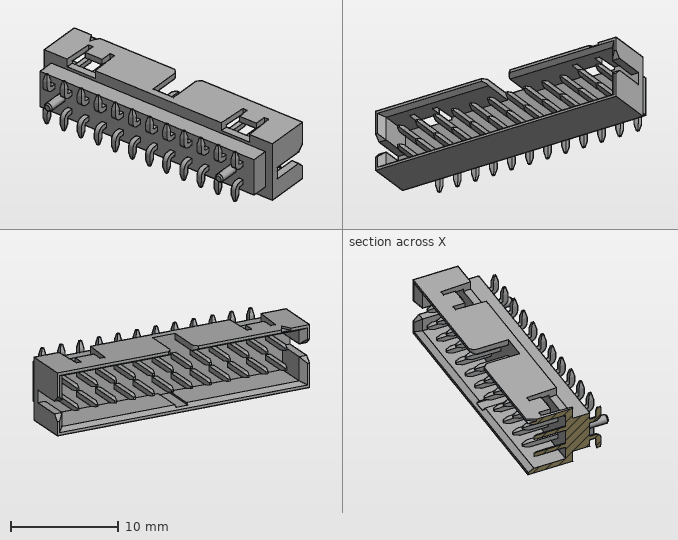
import cadquery as cq
import math


shroud_length = 26.65
shroud_depth = 4.66
shroud_height = 6.3
end_wall = 0.8
long_wall = 0.6
floor_thickness = 0.77

lead_in_depth = 0.59
lead_in_inset_x = 0.59
lead_in_inset_z = 0.32

base_length = 25.0
base_depth = 1.75
base_height = 3.95

pin_pitch = 2.0
pins_per_row = 12
pin_width = 0.5
pin_tip_width = 0.2
contact_tip_y = 4.35
contact_taper = 0.59
leg_reach = 1.2
leg_thickness = 0.55
leg_bend_radius = 0.72
leg_inner_radius = 0.15
leg_taper_z = 2.03
leg_tip_z = 2.72

peg_x = 10.0
peg_diameter = 0.88
peg_length = 2.19
peg_chamfer_length = 0.15
peg_chamfer_radius = 0.13

latch_x = 9.0
latch_rear_width = 3.3
latch_front_width = 3.0
latch_slot_end_y = 3.15
latch_tongue_width = 2.0
latch_tongue_y = 1.92
latch_rear_cut_z = 2.3

key_width = 2.37
key_chamfer = 0.4
key_blend_radius = 0.45
key_groove_width = 1.23
key_groove_depth = 0.15

end_slot_far_z = 1.15
end_slot_near_z = 0.12
end_slot_flare = 0.59

mark_x = -10.85
mark_width = 0.99
mark_length = 0.9
mark_depth = 0.2

cavity_length = shroud_length - 2 * end_wall
cavity_height = shroud_height - 2 * long_wall
top_z = shroud_height / 2
base_rear_y = -base_depth
flare_start_y = shroud_depth - lead_in_depth


def block(x_size, z_size, y_start, y_end):
    """Box centred on X = Z = 0 between two Y planes."""
    size_y = y_end - y_start
    return cq.Workplane("XY").box(x_size, size_y, z_size).translate((0, (y_start + y_end) / 2, 0))


def plan_cut(points, z_low, z_high):
    """Prism with an outline in X and Y, between two heights."""
    return cq.Workplane("XY").workplane(offset=z_low).polyline(points).close().extrude(z_high - z_low)


def make_shroud():
    outer = block(shroud_length, shroud_height, 0, shroud_depth)
    base = block(base_length, base_height, base_rear_y, 0)
    cavity = block(cavity_length, cavity_height, floor_thickness, shroud_depth)
    lead_in = (
        cq.Workplane("XZ", origin=(0, flare_start_y, 0))
        .rect(cavity_length, cavity_height)
        .workplane(offset=-lead_in_depth)
        .rect(cavity_length + 2 * lead_in_inset_x, cavity_height + 2 * lead_in_inset_z)
        .loft(ruled=True)
    )
    return outer.union(base).cut(cavity).cut(lead_in)


def make_latch_window():
    """Tapered opening, with a tongue left standing at its front, run out through the rear face."""
    rear_half = latch_rear_width / 2
    front_half = latch_front_width / 2
    tongue_half = latch_tongue_width / 2
    return plan_cut(
        [
            (-rear_half, 0),
            (rear_half, 0),
            (front_half, latch_slot_end_y),
            (tongue_half, latch_slot_end_y),
            (tongue_half, latch_tongue_y),
            (-tongue_half, latch_tongue_y),
            (-tongue_half, latch_slot_end_y),
            (-front_half, latch_slot_end_y),
        ],
        latch_rear_cut_z,
        top_z,
    )


def make_key_notch():
    half = key_width / 2
    blend_start_y = shroud_depth - key_chamfer - key_blend_radius * math.tan(math.pi / 8)
    blend_x = half + key_blend_radius * (1 - math.cos(math.pi / 4))
    blend_end_y = blend_start_y + key_blend_radius * math.sin(math.pi / 4)
    notch = (
        cq.Workplane("XY")
        .moveTo(-half, floor_thickness)
        .lineTo(half, floor_thickness)
        .lineTo(half, blend_start_y)
        .radiusArc((blend_x, blend_end_y), key_blend_radius)
        .lineTo(half + key_chamfer, shroud_depth)
        .lineTo(-half - key_chamfer, shroud_depth)
        .lineTo(-blend_x, blend_end_y)
        .radiusArc((-half, blend_start_y), key_blend_radius)
        .close()
        .extrude(top_z)
    )
    groove_floor_z = -cavity_height / 2 - key_groove_depth
    groove = block(key_groove_width, -groove_floor_z, floor_thickness, shroud_depth)
    return notch.union(groove.translate((0, 0, groove_floor_z / 2)))


def make_end_slot():
    """Flared slot through the -X end wall."""
    outline = [
        (floor_thickness, -end_slot_near_z),
        (flare_start_y, -end_slot_near_z),
        (shroud_depth, -end_slot_near_z - end_slot_flare),
        (shroud_depth, end_slot_far_z + end_slot_flare),
        (flare_start_y, end_slot_far_z),
        (floor_thickness, end_slot_far_z),
    ]
    return cq.Workplane("YZ", origin=(-shroud_length / 2, 0, 0)).polyline(outline).close().extrude(end_wall)


def make_pin_mark():
    half = mark_width / 2
    outline = [
        (mark_x - half, shroud_depth),
        (mark_x + half, shroud_depth),
        (mark_x, shroud_depth - mark_length),
    ]
    return plan_cut(outline, top_z - mark_depth, top_z)


def make_tip(plane, origin, thickness, length):
    """Taper to a square end, growing from origin along the plane's normal."""
    return (
        cq.Workplane(plane, origin=origin)
        .rect(pin_width, thickness)
        .workplane(offset=length)
        .rect(pin_tip_width, pin_tip_width)
        .loft(ruled=True)
    )


def make_upper_pin():
    """Contact along Y in the upper row whose tail bends up toward +Z."""
    row_z = pin_pitch / 2
    bottom_z = row_z - pin_width / 2
    contact_end_y = contact_tip_y - contact_taper
    leg_y = base_rear_y - leg_reach
    inner_y = leg_y + leg_thickness
    top_of_pin_z = bottom_z + pin_width
    shaft = (
        cq.Workplane("YZ", origin=(-pin_width / 2, 0, 0))
        .moveTo(contact_end_y, bottom_z)
        .lineTo(leg_y + leg_bend_radius, bottom_z)
        .radiusArc((leg_y, bottom_z + leg_bend_radius), leg_bend_radius)
        .lineTo(leg_y, leg_taper_z)
        .lineTo(inner_y, leg_taper_z)
        .lineTo(inner_y, top_of_pin_z + leg_inner_radius)
        .radiusArc((inner_y + leg_inner_radius, top_of_pin_z), -leg_inner_radius)
        .lineTo(contact_end_y, top_of_pin_z)
        .close()
        .extrude(pin_width)
    )
    contact_tip = make_tip("XZ", (0, contact_end_y, row_z), pin_width, -contact_taper)
    leg_axis_y = leg_y + leg_thickness / 2
    leg_tip = make_tip("XY", (0, leg_axis_y, leg_taper_z), leg_thickness, leg_tip_z - leg_taper_z)
    return shaft.union(contact_tip).union(leg_tip)


def make_peg():
    radius = peg_diameter / 2
    tip_radius = radius - peg_chamfer_radius
    chamfer_start = peg_length - peg_chamfer_length
    shank = cq.Workplane("XZ", origin=(0, base_rear_y, 0)).circle(radius).extrude(chamfer_start)
    tip = (
        cq.Workplane("XZ", origin=(0, base_rear_y - chamfer_start, 0))
        .circle(radius)
        .workplane(offset=peg_chamfer_length)
        .circle(tip_radius)
        .loft(ruled=True)
    )
    return shank.union(tip)


result = make_shroud().cut(make_key_notch()).cut(make_pin_mark())

latch_window = make_latch_window()
peg = make_peg()
for side in (-1, 1):
    result = result.cut(latch_window.translate((side * latch_x, 0, 0)))
    result = result.union(peg.translate((side * peg_x, 0, 0)))

end_slot = make_end_slot()
result = result.cut(end_slot).cut(end_slot.rotate((0, 0, 0), (0, 1, 0), 180))

upper_pin = make_upper_pin()
lower_pin = upper_pin.mirror("XY")
for index in range(pins_per_row):
    pin_x = (index - (pins_per_row - 1) / 2) * pin_pitch
    result = result.union(upper_pin.translate((pin_x, 0, 0)))
    result = result.union(lower_pin.translate((pin_x, 0, 0)))